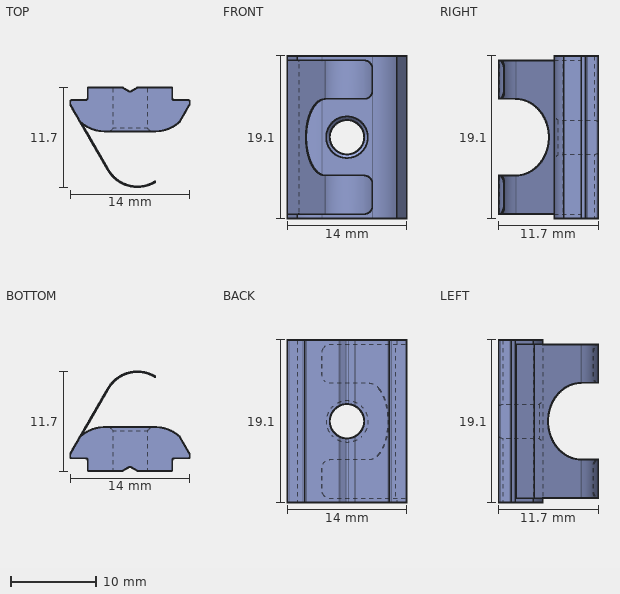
import cadquery as cq
import math

length = 19.05
half_width = 7.01
body_depth = 5.18
neck_half_width = 4.97
shoulder_depth = 1.49
edge_round = 0.2
rim_end_depth = 1.98
flank_angle = math.radians(60)
flank_end_depth = 4.08
flat_half_width = 2.93

groove_half_width = 0.91
groove_slope = math.radians(30)
groove_round = 0.29

hole_radius = 2.0
countersink = 0.44

sheet_thickness = 0.1
sheet_proud = 0.04
spring_height = 18.0
spring_reach = 11.7
curl_radius = 4.0
tip_angle = math.radians(32)
notch_radius = 4.48
tip_corner_radius = 1.0


def make_body():
    """Extrude the nut section and round its long edges."""
    flank_inset = (flank_end_depth - rim_end_depth) / math.tan(flank_angle)
    flank_end_x = half_width - flank_inset
    curve_run = flank_end_x - flat_half_width
    curve_rise = body_depth - flank_end_depth
    curve_radius = (curve_run**2 + curve_rise**2) / (2 * curve_rise)
    half_sweep = math.asin(curve_run / curve_radius) / 2
    curve_mid_x = flat_half_width + curve_radius * math.sin(half_sweep)
    curve_mid_y = -body_depth + curve_radius * (1 - math.cos(half_sweep))
    groove_depth = groove_half_width * math.tan(groove_slope)

    body = (
        cq.Workplane("XY")
        .workplane(offset=-length / 2)
        .moveTo(0, -groove_depth)
        .lineTo(groove_half_width, 0)
        .lineTo(neck_half_width, 0)
        .lineTo(neck_half_width, -shoulder_depth)
        .lineTo(half_width, -shoulder_depth)
        .lineTo(half_width, -rim_end_depth)
        .lineTo(flank_end_x, -flank_end_depth)
        .threePointArc((curve_mid_x, curve_mid_y), (flat_half_width, -body_depth))
        .lineTo(0, -body_depth)
        .mirrorY()
        .extrude(length)
    )

    def round_edges(solid, x, y, radius):
        for side in sorted({-x, x}):
            near = cq.selectors.NearestToPointSelector((side, y, 0))
            solid = solid.edges("|Z").edges(near).fillet(radius)
        return solid

    body = round_edges(body, neck_half_width, 0, edge_round)
    body = round_edges(body, neck_half_width, -shoulder_depth, edge_round)
    body = round_edges(body, half_width, -shoulder_depth, edge_round)
    body = round_edges(body, groove_half_width, 0, groove_round)
    return round_edges(body, 0, -groove_depth, groove_round)


def make_screw_hole():
    """Through hole with a 45 degree countersink on the front face."""
    profile = [
        (0, 0),
        (hole_radius, 0),
        (hole_radius, countersink - body_depth),
        (hole_radius + countersink, -body_depth),
        (0, -body_depth),
    ]
    return cq.Workplane("XY").polyline(profile).close().revolve(360, (0, 0), (0, 1))


def make_spring():
    """Curled sheet with a round notch that leaves two prongs."""
    leaf_start = (-half_width, -rim_end_depth - sheet_proud / math.cos(flank_angle))
    curl_y = curl_radius - spring_reach
    bend_y = curl_y - curl_radius * math.cos(flank_angle)
    bend_x = leaf_start[0] + (leaf_start[1] - bend_y) / math.tan(flank_angle)
    curl_x = bend_x + curl_radius * math.sin(flank_angle)
    inner_radius = curl_radius - sheet_thickness

    def on_curl(radius, angle):
        """Point on the curl, with the angle measured from its lowest point."""
        return (curl_x + radius * math.sin(angle), curl_y - radius * math.cos(angle))

    inner_start = (
        leaf_start[0] + sheet_thickness * math.sin(flank_angle),
        leaf_start[1] + sheet_thickness * math.cos(flank_angle),
    )
    sheet = (
        cq.Workplane("XY")
        .workplane(offset=-spring_height / 2)
        .moveTo(*leaf_start)
        .lineTo(bend_x, bend_y)
        .threePointArc(on_curl(curl_radius, 0), on_curl(curl_radius, tip_angle))
        .lineTo(*on_curl(inner_radius, tip_angle))
        .threePointArc(on_curl(inner_radius, 0), on_curl(inner_radius, -flank_angle))
        .lineTo(*inner_start)
        .close()
        .extrude(spring_height)
    )

    leaf_plane = cq.Plane(
        origin=(bend_x, bend_y, 0),
        xDir=(math.cos(flank_angle), -math.sin(flank_angle), 0),
        normal=(math.sin(flank_angle), math.cos(flank_angle), 0),
    )
    round_notch = cq.Workplane(leaf_plane).circle(notch_radius).extrude(curl_radius / 2, both=True)
    leaf_side = cq.Workplane("XY").box(length, 2 * length, length).translate((bend_x - length / 2, 0, 0))
    sheet = sheet.cut(round_notch.intersect(leaf_side))

    tip_x = on_curl(curl_radius, tip_angle)[0]
    outline = (
        cq.Workplane("XZ")
        .moveTo(-half_width, -spring_height / 2)
        .lineTo(tip_x, -spring_height / 2)
        .lineTo(tip_x, -notch_radius)
        .lineTo(bend_x, -notch_radius)
        .lineTo(bend_x, notch_radius)
        .lineTo(tip_x, notch_radius)
        .lineTo(tip_x, spring_height / 2)
        .lineTo(-half_width, spring_height / 2)
        .close()
        .extrude(spring_reach)
    )
    rounded_outline = outline.edges("|Y and >X").fillet(tip_corner_radius)
    return sheet.intersect(rounded_outline)


result = make_body().cut(make_screw_hole()).union(make_spring())